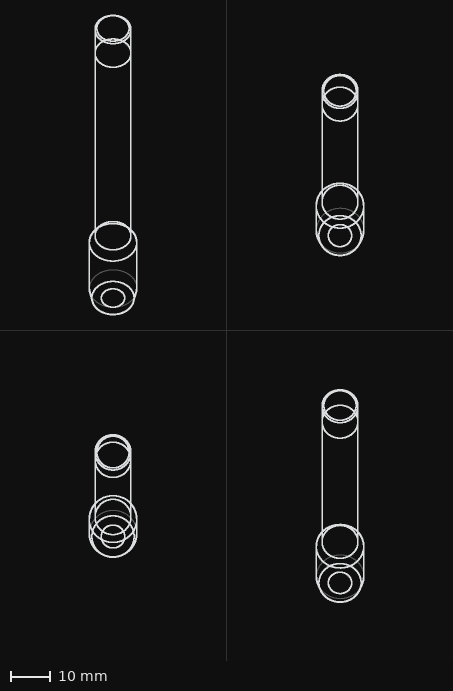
import cadquery as cq

total_length = 112.8

tip_height = 3.0
tip_radius = 2.9

head_radius = 6.0
nose_radius = 5.3
nose_top = 7.0
shoulder_bottom = 25.7
shoulder_top = 28.4

shank_radius = 4.5
end_piece_length = 10.0
end_piece_bottom = total_length - end_piece_length

chamfer_height = 0.5
end_face_radius = 4.1


def revolve_profile(points):
    """Turn a closed outline of (radius, height) points about the Z axis."""
    return cq.Workplane("XZ").polyline(points).close().revolve(360, (0, 0), (0, 1))


def make_punch():
    """Main body: pointed tip, tapered nose, head, shoulder and shank."""
    return revolve_profile([
        (0, 0),
        (tip_radius, tip_height),
        (nose_radius, tip_height),
        (head_radius, nose_top),
        (head_radius, shoulder_bottom),
        (shank_radius, shoulder_top),
        (shank_radius, end_piece_bottom),
        (0, end_piece_bottom),
    ])


def make_end_piece():
    """Short cylinder on top of the shank, chamfered at its upper rim."""
    return revolve_profile([
        (0, end_piece_bottom),
        (shank_radius, end_piece_bottom),
        (shank_radius, total_length - chamfer_height),
        (end_face_radius, total_length),
        (0, total_length),
    ])


punch = make_punch()
end_piece = make_end_piece()

result = cq.Compound.makeCompound([punch.val(), end_piece.val()])